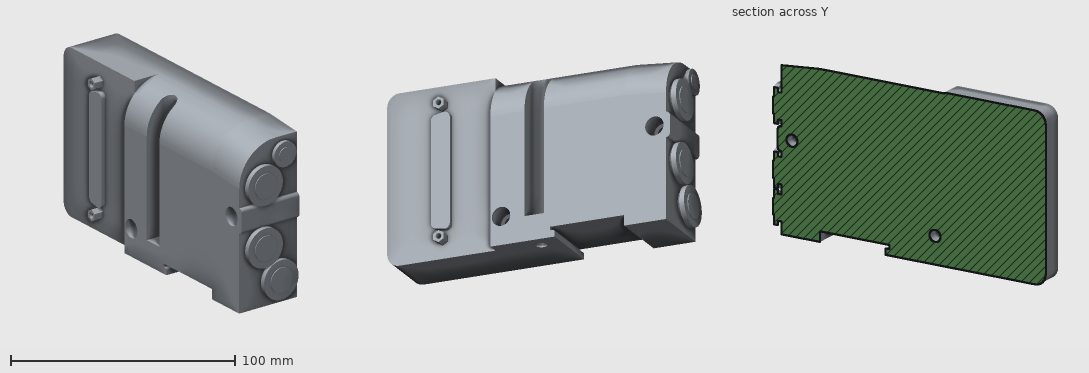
import cadquery as cq
import math

depth = 32.0
height = 82.0
body_end_x = 138.9

block_length = 53.0
block_front_y = 5.5
block_corner_radius = 6.0

shoulder_radius = 20.0
taper_start_x = 118.8
taper_drop = 1.8

shell_center_x = 27.2
shell_center_z = height / 2
shell_width = 9.2
shell_long_side = 56.6
shell_flare_angle = 10.0
shell_corner_radius = 2.6
shell_projection = 2.6

post_spacing = 63.5
post_across_flats = 5.0
post_projection = 4.8
post_bore_diameter = 2.4
post_countersink_diameter = 3.0

mount_positions = [(58.2, 13.6), (133.2, 45.1)]
mount_diameter = 5.5
mount_bore_diameter = 9.0
mount_bore_depth = 10.0

slot_x = 74.4
slot_width = 9.5
slot_axis_y = 7.6
slot_floor_z = 12.0
slot_hole_diameter = 5.5

notch_start_x = 82.2
notch_end_x = 118.4
notch_height = 5.0
hook_reach = 2.2
hook_height = 3.3
hook_corner_radius = 0.8

tab_projection = 1.9
tab_length = 12.0
tab_center_z = 45.0
tab_corner_radius = 1.8

collar_length = 1.5
large_fitting = {"collar": 15.7, "flange": 19.2, "flange_length": 2.4, "lip": 12.0}
small_fitting = {"collar": 9.0, "flange": 12.2, "flange_length": 1.8, "lip": 7.0}
lip_length = 0.4
front_port_y = 11.75
rear_port_y = 20.5
pilot_port_y = 23.2
fittings = [
    (large_fitting, front_port_y, 60.2),
    (large_fitting, front_port_y, 30.0),
    (large_fitting, rear_port_y, 12.5),
    (small_fitting, pilot_port_y, 72.4),
]


def rod(diameter, length, origin, direction):
    """Cylinder starting at origin and running along direction."""
    return cq.Workplane(cq.Solid.makeCylinder(
        diameter / 2, length, cq.Vector(*origin), cq.Vector(*direction)))


def make_connector_block():
    size_y = depth - block_front_y
    block = cq.Workplane().box(block_length, size_y, height, centered=False)
    return block.edges("|Y and <X").fillet(block_corner_radius).translate((0, block_front_y, 0))


def shoulder_section(plane, top_z):
    """Closed YZ outline with a quarter-round upper front edge."""
    arc_offset = shoulder_radius * (1 - math.sqrt(0.5))
    return (
        plane.moveTo(0, 0)
        .lineTo(depth, 0)
        .lineTo(depth, top_z)
        .lineTo(shoulder_radius, top_z)
        .threePointArc((arc_offset, top_z - arc_offset), (0, top_z - shoulder_radius))
        .close()
    )


def make_valve_body():
    start = cq.Workplane("YZ", origin=(block_length, 0, 0))
    straight = shoulder_section(start, height).extrude(taper_start_x - block_length)
    taper_start = cq.Workplane("YZ", origin=(taper_start_x, 0, 0))
    taper_end = shoulder_section(taper_start, height).workplane(offset=body_end_x - taper_start_x)
    taper = shoulder_section(taper_end, height - taper_drop).loft(ruled=True)
    return straight.union(taper)


def make_tab():
    tab = cq.Workplane().box(2 * tab_projection, depth, tab_length)
    tab = tab.edges("|Y and >X").fillet(tab_corner_radius)
    return tab.translate((body_end_x, depth / 2, tab_center_z))


def make_connector_shell():
    half_width = shell_width / 2
    half_long = shell_long_side / 2
    half_short = half_long - shell_width * math.tan(math.radians(shell_flare_angle))
    outline = [
        (-half_width, -half_short),
        (half_width, -half_long),
        (half_width, half_long),
        (-half_width, half_short),
    ]
    shell = cq.Workplane("XZ").polyline(outline).close().extrude(shell_projection)
    shell = shell.edges("|Y").fillet(shell_corner_radius)
    return shell.translate((shell_center_x, block_front_y, shell_center_z))


def make_jack_post(center_z):
    across_corners = post_across_flats / math.cos(math.radians(30))
    countersink = (post_countersink_diameter - post_bore_diameter) / 2
    post = (
        cq.Workplane("XZ")
        .transformed(rotate=(0, 0, 90))
        .polygon(6, across_corners)
        .circle(post_bore_diameter / 2)
        .extrude(post_projection)
    )
    post = post.faces("<Y").edges("%CIRCLE").chamfer(countersink)
    return post.translate((shell_center_x, block_front_y, center_z))


def make_fitting(sizes, y, z):
    steps = [
        (sizes["collar"], collar_length),
        (sizes["flange"], sizes["flange_length"]),
        (sizes["lip"], lip_length),
    ]
    fitting = cq.Workplane()
    x = body_end_x
    for diameter, length in steps:
        fitting = fitting.add(rod(diameter, length, (x, y, z), (1, 0, 0)))
        x += length
    return fitting.combine()


def make_mounting_hole(x, z):
    through = rod(mount_diameter, depth, (x, 0, z), (0, 1, 0))
    counterbore = rod(mount_bore_diameter, mount_bore_depth, (x, 0, z), (0, 1, 0))
    return through.union(counterbore)


def make_screw_slot():
    slot_height = height - slot_floor_z
    mouth = cq.Workplane().box(slot_width, slot_axis_y, slot_height, centered=(True, False, False))
    mouth = mouth.translate((slot_x, 0, slot_floor_z))
    floor = rod(slot_width, slot_height, (slot_x, slot_axis_y, slot_floor_z), (0, 0, 1))
    hole = rod(slot_hole_diameter, height, (slot_x, slot_axis_y, 0), (0, 0, 1))
    return mouth.union(floor).union(hole)


def make_rail_notch():
    hook_x = notch_start_x + hook_reach
    return (
        cq.Workplane("XZ")
        .moveTo(hook_x, 0)
        .lineTo(notch_end_x, 0)
        .lineTo(notch_end_x, notch_height)
        .lineTo(notch_start_x, notch_height)
        .lineTo(notch_start_x, hook_height)
        .lineTo(hook_x - hook_corner_radius, hook_height)
        .radiusArc((hook_x, hook_height - hook_corner_radius), hook_corner_radius)
        .close()
        .extrude(-depth)
    )


body = make_connector_block().union(make_valve_body()).union(make_tab())
body = body.union(make_connector_shell())
for side in (-1, 1):
    body = body.union(make_jack_post(shell_center_z + side * post_spacing / 2))

for sizes, port_y, port_z in fittings:
    body = body.union(make_fitting(sizes, port_y, port_z))

for mount_x, mount_z in mount_positions:
    body = body.cut(make_mounting_hole(mount_x, mount_z))
body = body.cut(make_screw_slot())
body = body.cut(make_rail_notch())

result = body